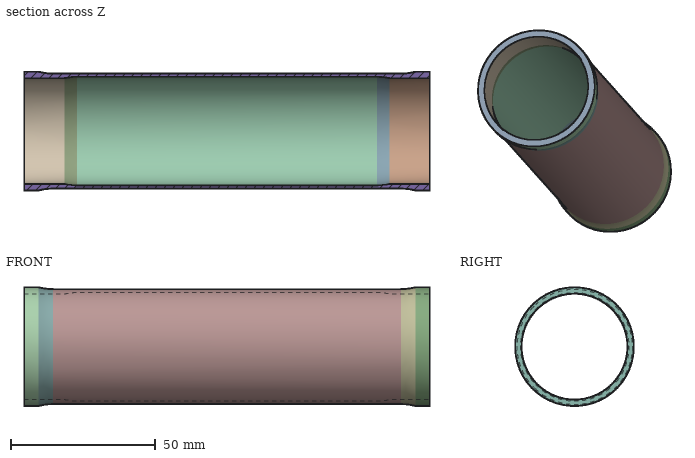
import cadquery as cq
import math

length = 140.0
body_diameter = 39.8
middle_bore_diameter = 37.5
end_bore_diameter = 36.5
collar_length = 5.0
collar_blend_length = 5.0
end_bore_length = 13.85
blend_radius = 20.0

half_length = length / 2
body_radius = body_diameter / 2
middle_bore_radius = middle_bore_diameter / 2
end_bore_radius = end_bore_diameter / 2

collar_step = blend_radius - math.sqrt(blend_radius**2 - collar_blend_length**2)
collar_radius = body_radius + collar_step
bore_step = middle_bore_radius - end_bore_radius
bore_blend_length = math.sqrt(blend_radius**2 - (blend_radius - bore_step) ** 2)


def stepped_solid(end_radius, end_length, middle_radius, blend_length):
    """Solid of revolution about X: a middle cylinder blended by arcs into two end cylinders.

    Each arc is tangent to the middle cylinder and meets its end cylinder at a slight corner.
    """
    end_x = half_length - end_length
    middle_x = end_x - blend_length
    signed_radius = math.copysign(blend_radius, middle_radius - end_radius)
    profile = (
        cq.Workplane("XZ")
        .moveTo(-half_length, 0)
        .lineTo(-half_length, end_radius)
        .lineTo(-end_x, end_radius)
        .radiusArc((-middle_x, middle_radius), signed_radius)
        .lineTo(middle_x, middle_radius)
        .radiusArc((end_x, end_radius), signed_radius)
        .lineTo(half_length, end_radius)
        .lineTo(half_length, 0)
        .close()
    )
    axis_start = (0, 0, 0)
    axis_end = (1, 0, 0)
    return profile.revolve(360, axis_start, axis_end)


outside = stepped_solid(collar_radius, collar_length, body_radius, collar_blend_length)
bore = stepped_solid(end_bore_radius, end_bore_length, middle_bore_radius, bore_blend_length)

result = outside.cut(bore)